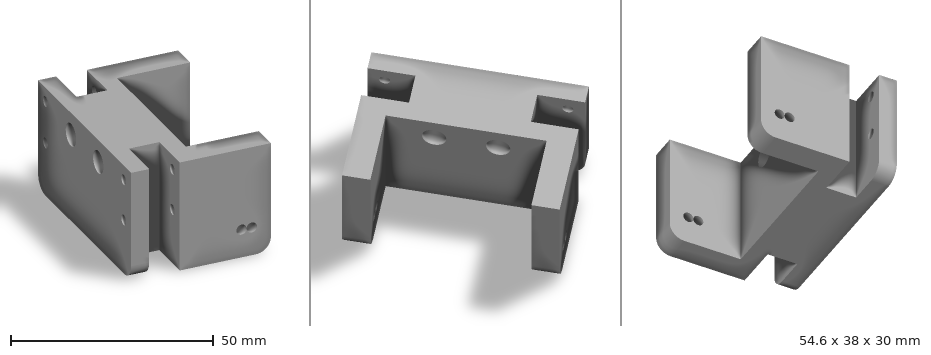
import cadquery as cq

WIDTH = 54.65
DEPTH = 38.0
HEIGHT = 30.0

PLATE_THICKNESS = 4.9
NECK_LENGTH = 8.3
NECK_WIDTH = 30.6
WEB_THICKNESS = 4.9
ARM_THICKNESS = 7.1
CORNER_RADIUS = 4.05

BORE_DIAMETER = 6.1
BORE_SPACING = 16.05
BORE_Z = HEIGHT - 6.05

SCREW_DIAMETER = 2.8
SCREW_X = 23.0
UPPER_SCREW_Z = HEIGHT - 3.95
LEFT_LOWER_SCREW_Z = HEIGHT - 15.4
RIGHT_LOWER_SCREW_Z = HEIGHT - 15.1
SCREW_DEPTH_IN_BRACKET = WEB_THICKNESS

PIN_DIAMETER = 2.8
PIN_Z = 7.7
PIN_Y_POSITIONS = (30.0, 32.8)

bracket_front = PLATE_THICKNESS + NECK_LENGTH
web_back = bracket_front + WEB_THICKNESS


def block(width, y_start, y_end):
    """Full-height block centred on X, between two Y positions."""
    return cq.Workplane("XY").box(
        width, y_end - y_start, HEIGHT, centered=(True, False, False)
    ).translate((0, y_start, 0))


def hole_along_y(x, z, diameter, length):
    """Cutter starting at the front face and running back along Y."""
    return cq.Workplane("XZ", origin=(x, 0, z)).circle(diameter / 2).extrude(-length)


def hole_along_x(y, z, diameter):
    """Cutter running through the full width along X."""
    start = (-WIDTH / 2, y, z)
    return cq.Workplane("YZ", origin=start).circle(diameter / 2).extrude(WIDTH)


plate = block(WIDTH, 0, PLATE_THICKNESS).edges("|Y and <Z").fillet(CORNER_RADIUS)

opening = block(WIDTH - 2 * ARM_THICKNESS, web_back, DEPTH)
bracket = block(WIDTH, bracket_front, DEPTH).cut(opening)
bracket = bracket.edges("|X and >Y and <Z").fillet(CORNER_RADIUS)

neck = block(NECK_WIDTH, PLATE_THICKNESS, bracket_front)
result = plate.union(neck).union(bracket)

for x in (-BORE_SPACING / 2, BORE_SPACING / 2):
    result = result.cut(hole_along_y(x, BORE_Z, BORE_DIAMETER, web_back))

screw_positions = (
    (-SCREW_X, UPPER_SCREW_Z),
    (-SCREW_X, LEFT_LOWER_SCREW_Z),
    (SCREW_X, UPPER_SCREW_Z),
    (SCREW_X, RIGHT_LOWER_SCREW_Z),
)
screw_length = bracket_front + SCREW_DEPTH_IN_BRACKET
for x, z in screw_positions:
    result = result.cut(hole_along_y(x, z, SCREW_DIAMETER, screw_length))

for y in PIN_Y_POSITIONS:
    result = result.cut(hole_along_x(y, PIN_Z, PIN_DIAMETER))